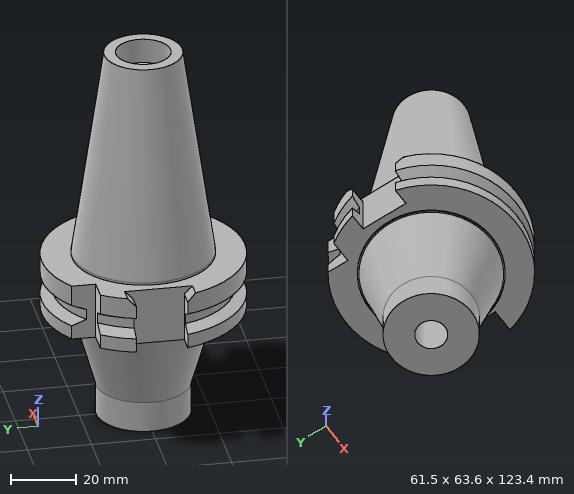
import cadquery as cq

total_height = 123.4
nose_top = 10.0
cone_top = 35.5
flange_bottom = 36.0
flange_top = 54.3
taper_bottom = 55.0

nose_radius = 14.8
cone_radius = 22.2
collar_radius = 22.7
flange_radius = 31.78
taper_radius = 22.2
taper_end_radius = 12.2

groove_radius = 28.1
groove_floor_bottom = 42.5
groove_floor_top = 45.8
groove_mouth_bottom = 40.6
groove_mouth_top = 47.6

through_radius = 5.0
thread_radius = 6.9
thread_depth = 29.6
entry_radius = 8.5
entry_depth = 8.0

slot_width = 16.0
slot_chamfer = 2.6
left_slot_floor = 25.0
right_slot_floor = 22.8
notch_offset = 18.4


def turned_body():
    """Nose, cone, grooved flange and taper as one revolved profile."""
    profile = [
        (0, 0),
        (nose_radius, 0),
        (nose_radius, nose_top),
        (cone_radius, cone_top),
        (collar_radius, cone_top),
        (collar_radius, flange_bottom),
        (flange_radius, flange_bottom),
        (flange_radius, groove_mouth_bottom),
        (groove_radius, groove_floor_bottom),
        (groove_radius, groove_floor_top),
        (flange_radius, groove_mouth_top),
        (flange_radius, flange_top),
        (taper_radius, flange_top),
        (taper_radius, taper_bottom),
        (taper_end_radius, total_height),
        (0, total_height),
    ]
    return cq.Workplane("XZ").polyline(profile).close().revolve(360, (0, 0), (0, 1))


def bore_cutter(radius, depth):
    """Cylinder reaching down from the small end of the taper."""
    return cq.Workplane("XY").workplane(offset=total_height - depth).circle(radius).extrude(depth)


def slot_cutter(side, floor):
    """Drive slot with chamfered top edges; side is -1 for -X and 1 for +X."""
    half_width = slot_width / 2
    mouth_half_width = half_width + slot_chamfer
    chamfer_bottom = flange_top - slot_chamfer
    section = [
        (-half_width, flange_bottom),
        (half_width, flange_bottom),
        (half_width, chamfer_bottom),
        (mouth_half_width, flange_top),
        (-mouth_half_width, flange_top),
        (-half_width, chamfer_bottom),
    ]
    plane = cq.Workplane("YZ").workplane(offset=side * floor)
    return plane.polyline(section).close().extrude(side * (flange_radius - floor))


def notch_cutter():
    """Square corner notch through the flange at -X, +Y."""
    size = flange_radius - notch_offset
    height = flange_top - flange_bottom
    corner = (-flange_radius, notch_offset, flange_bottom)
    return cq.Workplane("XY").box(size, size, height, centered=False).translate(corner)


result = turned_body()
result = result.cut(bore_cutter(through_radius, total_height))
result = result.cut(bore_cutter(thread_radius, thread_depth))
result = result.cut(bore_cutter(entry_radius, entry_depth))
result = result.cut(slot_cutter(-1, left_slot_floor))
result = result.cut(slot_cutter(1, right_slot_floor))
result = result.cut(notch_cutter())